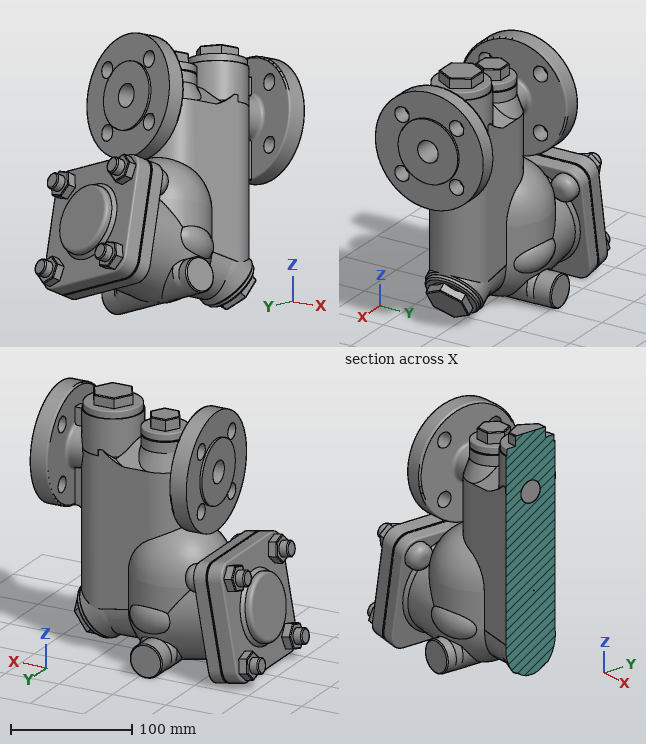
import cadquery as cq
import math


face_to_face = 150.0
flange_dia = 105.0
flange_thickness = 18.0
raised_face_dia = 58.0
raised_face_height = 2.0
flange_edge_round = 1.5
bolt_circle_dia = 75.0
bolt_hole_dia = 14.0
bolt_hole_count = 4
bore_dia = 20.0
inlet_neck_dia = 32.0
outlet_neck_dia = 36.0
outlet_neck_flare_dia = 38.0
neck_root_fillet = 3.0
flange_back_x = face_to_face / 2 - flange_thickness

right_column_x = 23.5
left_column_x = -23.5
body_radius = 26.2
body_top_z = -0.5

right_column_radius = 26.0
right_step_z = 5.0
right_shoulder_z = 38.5
right_cap_dia = 50.0
right_cap_z = 44.8
right_hex_flats = 32.0
right_hex_top_z = 54.0
shoulder_rise_z = 10.7
shoulder_start_x = 0.0
shoulder_end_x = 19.5
shoulder_curve_radius = 52.0

left_boss_x = -25.0
left_boss_radius = 20.0
left_flare_top_z = 15.0
left_groove_z = 24.6
left_groove_height = 0.8
left_groove_depth = 0.8
left_cap_z = 32.0
left_hex_flats = 24.0
left_hex_top_z = 42.2

ridge_top_z = 18.0
ridge_shoulder_y = 12.5
ridge_shoulder_z = 13.0

rib_thickness = 8.5
rib_top_z = 34.5
rib_bottom_z = -52.2
rib_foot = 5.5

chamber_radius = 44.0
tilted_radius = 43.6
chamber_x = -40.0
chamber_z = -125.4
dome_z = -92.2
cover_tilt = 10.0

cover_face_distance = 74.8
plate_size = 105.0
plate_corner_radius = 14.0
cover_thickness = 14.5
gasket_thickness = 1.0
gasket_inset = 0.8
chamber_flange_thickness = 12.3
plate_edge_round = 1.5
chamber_root_fillet = 3.0
crown_dia = 60.0
crown_height = 9.0
crown_round = 3.0
crown_foot_angle = 45.0
stud_offset = 38.0
stud_dia = 14.0
stud_height = 16.0
stud_chamfer = 1.0
nut_flats = 21.0
nut_height = 8.0
nut_turn = 15.0
stud_boss_radius = 12.0
stud_boss_length = 12.0
stud_boss_round = 8.0

cross_boss_x = -38.0
cross_boss_z = -154.5
cross_boss_dia = 30.0
cross_boss_front_y = -50.5
cross_boss_back_y = 58.0
cross_boss_chamfer = 1.0
cross_boss_collar_dia = 35.0
cross_boss_collar_rise = 2.6
cross_boss_collar_y = 36.0
cross_boss_collar_height = 5.0

bulge_x = -33.5
bulge_y = 30.0
bulge_z = -123.9
bulge_half_length = 25.8
bulge_half_width = 17.3
bulge_yaw = 12.0
bulge_pitch = 7.0

passage_bottom_z = -158.8
passage_half_width = 26.0
passage_left_x = -20.0
passage_left_height = 70.5
passage_right_height = 57.0

body_bottom_z = passage_bottom_z + passage_right_height / 2

plug_slope = 35.0
plug_joint_z = -133.5
plug_boss_radius = 26.4
plug_boss_length = 14.5
plug_boss_chamfer = 1.4
plug_disc_dia = 49.6
plug_disc_thickness = 4.1
plug_disc_chamfer = 1.5
plug_hex_flats = 35.0
plug_hex_height = 8.0

hex_chamfer = 0.8
embed = 1.0
cap_edge_round = 1.0


def hex_prism(plane, flats, height, turn=0.0):
    """Hexagon head with its outer edge chamfered; turn is degrees about the axis."""
    corners = flats / math.cos(math.pi / 6)
    head = cq.Workplane(plane).polygon(6, corners).extrude(height)
    head = head.faces(cq.selectors.DirectionMinMaxSelector(plane.zDir, True)).chamfer(hex_chamfer)
    return head.rotate(plane.origin.toTuple(), (plane.origin + plane.zDir).toTuple(), turn)


def disc(plane, radius, height):
    return cq.Workplane(plane).circle(radius).extrude(height)


def level_plane(x, z):
    return cq.Plane(origin=(x, 0, z), xDir=(1, 0, 0), normal=(0, 0, 1))


def column(x, radius, z_low, z_high):
    return disc(level_plane(x, z_low), radius, z_high - z_low)


def flange(side, neck_radius, neck_root_radius, neck_end_x):
    """Flange and neck revolved about the pipe axis; side is -1 for the inlet, +1 for the outlet."""
    face_x = face_to_face / 2
    rim_x = face_x - raised_face_height
    outer = flange_dia / 2
    profile = (
        cq.Workplane("XY")
        .moveTo(side * neck_end_x, 0)
        .lineTo(side * face_x, 0)
        .lineTo(side * face_x, raised_face_dia / 2)
        .lineTo(side * rim_x, raised_face_dia / 2)
        .lineTo(side * rim_x, outer)
        .lineTo(side * (flange_back_x + flange_edge_round), outer)
        .radiusArc((side * flange_back_x, outer - flange_edge_round), -side * flange_edge_round)
        .lineTo(side * flange_back_x, neck_root_radius + neck_root_fillet)
        .radiusArc((side * (flange_back_x - neck_root_fillet), neck_root_radius), side * neck_root_fillet)
        .lineTo(side * neck_end_x, neck_radius)
        .close()
    )
    ring = profile.revolve(360, (0, 0, 0), (1, 0, 0))
    holes = (
        cq.Workplane("YZ", origin=(side * flange_back_x, 0, 0))
        .polarArray(bolt_circle_dia / 2, 360 / bolt_hole_count / 2, 360, bolt_hole_count)
        .circle(bolt_hole_dia / 2)
        .extrude(side * flange_thickness)
    )
    return ring.cut(holes)


def body_block():
    """Slot-section block joining both columns, topped by a ridge and a rise to the right column."""
    block = (
        cq.Workplane(level_plane((left_column_x + right_column_x) / 2, body_bottom_z))
        .slot2D(right_column_x - left_column_x + 2 * body_radius, 2 * body_radius)
        .extrude(body_top_z - body_bottom_z)
    )
    rise = (
        cq.Workplane("XZ", origin=(0, body_radius, 0))
        .moveTo(shoulder_start_x, body_top_z)
        .radiusArc((shoulder_end_x, shoulder_rise_z), -shoulder_curve_radius)
        .lineTo(right_column_x, shoulder_rise_z)
        .lineTo(right_column_x, body_top_z)
        .close()
        .extrude(2 * body_radius)
    )
    ridge = (
        cq.Workplane("YZ", origin=(left_boss_x, 0, 0))
        .moveTo(-body_radius, body_top_z)
        .lineTo(-ridge_shoulder_y, ridge_shoulder_z)
        .threePointArc((0, ridge_top_z), (ridge_shoulder_y, ridge_shoulder_z))
        .lineTo(body_radius, body_top_z)
        .close()
        .extrude(right_column_x - left_boss_x)
    )
    floor_trim = (
        cq.Workplane("XZ", origin=(0, 2 * body_radius, 0))
        .moveTo(passage_left_x, passage_bottom_z + passage_left_height / 2)
        .lineTo(right_column_x, body_bottom_z)
        .lineTo(passage_left_x, body_bottom_z)
        .close()
        .extrude(4 * body_radius)
    )
    return block.cut(floor_trim).union(rise).union(ridge)


def right_column():
    lower = column(right_column_x, body_radius, plug_joint_z, right_step_z)
    upper = column(right_column_x, right_column_radius, body_top_z, right_shoulder_z)
    cap = column(right_column_x, right_cap_dia / 2, right_shoulder_z, right_cap_z)
    cap = cap.faces(">Z").edges().fillet(cap_edge_round)
    head = hex_prism(level_plane(right_column_x, right_cap_z), right_hex_flats, right_hex_top_z - right_cap_z)
    return lower.union(upper).union(cap).union(head)


def left_column():
    """Round boss with a grooved cap on top and a flare down to the body block."""
    groove_radius = left_boss_radius - left_groove_depth
    boss = (
        cq.Workplane("XZ", origin=(left_boss_x, 0, 0))
        .moveTo(0, left_flare_top_z)
        .lineTo(left_boss_radius, left_flare_top_z)
        .lineTo(left_boss_radius, left_groove_z)
        .lineTo(groove_radius, left_groove_z)
        .lineTo(groove_radius, left_groove_z + left_groove_height)
        .lineTo(left_boss_radius, left_groove_z + left_groove_height)
        .lineTo(left_boss_radius, left_cap_z - cap_edge_round)
        .radiusArc((left_boss_radius - cap_edge_round, left_cap_z), -cap_edge_round)
        .lineTo(0, left_cap_z)
        .close()
        .revolve(360, (0, 0, 0), (0, 1, 0))
    )
    flare = (
        cq.Workplane(level_plane(left_column_x, body_top_z))
        .circle(body_radius)
        .workplane(offset=left_flare_top_z - body_top_z)
        .center(left_boss_x - left_column_x, 0)
        .circle(left_boss_radius)
        .loft()
    )
    head = hex_prism(level_plane(left_boss_x, left_cap_z), left_hex_flats, left_hex_top_z - left_cap_z)
    return boss.union(flare).union(head)


def flange_rib():
    """Upright web filling the gap between the right column and the outlet flange."""
    column_edge_x = right_column_x + right_column_radius
    return (
        cq.Workplane("XZ", origin=(0, rib_thickness / 2, 0))
        .moveTo(right_column_x, rib_top_z)
        .lineTo(flange_back_x, rib_top_z)
        .lineTo(flange_back_x, rib_bottom_z)
        .lineTo(column_edge_x + rib_foot, rib_bottom_z)
        .radiusArc((column_edge_x, rib_bottom_z - rib_foot), -rib_foot)
        .lineTo(right_column_x, rib_bottom_z - rib_foot)
        .close()
        .extrude(rib_thickness)
    )


def cover_plane(distance):
    """Plane square to the tilted axis, at a distance outward from the chamber centre."""
    tilt = math.radians(cover_tilt)
    origin = (chamber_x - distance * math.cos(tilt), 0, chamber_z + distance * math.sin(tilt))
    return cq.Plane(origin=origin, xDir=(0, -1, 0), normal=(-math.cos(tilt), 0, math.sin(tilt)))


def chamber():
    """Round-ended upright capsule joined by the tilted cylinder that carries the cover."""
    upright = (
        cq.Workplane("XZ", origin=(chamber_x, 0, 0))
        .moveTo(0, chamber_z - chamber_radius)
        .radiusArc((chamber_radius, chamber_z), -chamber_radius)
        .lineTo(chamber_radius, dome_z)
        .radiusArc((0, dome_z + chamber_radius), -chamber_radius)
        .close()
        .revolve(360, (0, 0, 0), (0, 1, 0))
    )
    tilted = disc(cover_plane(0), tilted_radius, cover_face_distance - cover_thickness)
    return upright.union(tilted)


def square_plate(distance, size, thickness, corner_radius):
    """Rounded square plate whose inner face is at the given distance."""
    return (
        cq.Workplane(cover_plane(distance))
        .rect(size, size)
        .extrude(thickness)
        .edges(cq.selectors.ParallelDirSelector(cover_plane(0).zDir))
        .fillet(corner_radius)
    )


def cover():
    outward = cover_plane(0).zDir
    outer_face = cq.selectors.DirectionMinMaxSelector(outward, True)
    inner_face = cq.selectors.DirectionMinMaxSelector(outward, False)
    gasket_start = cover_face_distance - cover_thickness - gasket_thickness
    flange_start = gasket_start - chamber_flange_thickness

    lid_start = cover_face_distance - cover_thickness
    lid = square_plate(lid_start, plate_size, cover_thickness, plate_corner_radius)
    lid = lid.faces(outer_face).edges().fillet(plate_edge_round)
    gasket = square_plate(
        gasket_start, plate_size - 2 * gasket_inset, gasket_thickness, plate_corner_radius - gasket_inset
    )
    seat = square_plate(flange_start, plate_size, chamber_flange_thickness, plate_corner_radius)
    seat = seat.faces(inner_face).edges().fillet(plate_edge_round)

    root_outer = tilted_radius + chamber_root_fillet
    root = (
        cq.Workplane(cover_plane(flange_start - chamber_root_fillet))
        .circle(tilted_radius)
        .workplane(offset=chamber_root_fillet)
        .circle(root_outer)
        .loft()
    )
    crown = disc(cover_plane(cover_face_distance), crown_dia / 2, crown_height)
    crown = crown.faces(outer_face).edges().fillet(crown_round)
    crown_foot = (
        cq.Workplane(cover_plane(cover_face_distance))
        .circle(crown_dia / 2 + crown_round)
        .extrude(crown_round, taper=crown_foot_angle)
    )
    return lid.union(crown).union(crown_foot).union(gasket).union(seat).union(root)


def studs():
    """Four studs with nuts, and round bosses behind the two upper ones."""
    outward = cover_plane(0).zDir
    outer_face = cq.selectors.DirectionMinMaxSelector(outward, True)
    inner_face = cq.selectors.DirectionMinMaxSelector(outward, False)
    boss_end = (
        cover_face_distance - cover_thickness - gasket_thickness - chamber_flange_thickness - stud_boss_length
    )
    parts = cq.Workplane("XY")
    for side in (-1, 1):
        for level in (-1, 1):
            place = cover_plane(cover_face_distance)
            place.origin = place.toWorldCoords((side * stud_offset, level * stud_offset, 0))
            stud = disc(place, stud_dia / 2, stud_height).faces(outer_face).chamfer(stud_chamfer)
            nut = hex_prism(place, nut_flats, nut_height, side * level * nut_turn)
            parts = parts.add(stud.union(nut))
        back = cover_plane(boss_end)
        back.origin = back.toWorldCoords((side * stud_offset, stud_offset, 0))
        boss = disc(back, stud_boss_radius, stud_boss_length + embed)
        boss = boss.faces(inner_face).edges().fillet(stud_boss_round)
        parts = parts.add(boss)
    return parts.combine()


def cross_boss():
    """Horizontal boss across the chamber, flared where it leaves the casting on each side."""
    length = cross_boss_back_y - cross_boss_front_y
    boss = (
        cq.Workplane("XZ", origin=(cross_boss_x, cross_boss_back_y, cross_boss_z))
        .circle(cross_boss_dia / 2)
        .extrude(length)
        .faces("<Y or >Y")
        .edges()
        .chamfer(cross_boss_chamfer)
    )
    for side in (-1, 1):
        collar = (
            cq.Workplane("XZ", origin=(cross_boss_x, 0, cross_boss_z))
            .center(0, cross_boss_collar_rise)
            .circle(cross_boss_collar_dia / 2)
            .extrude(-side * cross_boss_collar_y)
        )
        flare = (
            cq.Workplane("XZ", origin=(cross_boss_x, side * cross_boss_collar_y, cross_boss_z))
            .center(0, cross_boss_collar_rise)
            .circle(cross_boss_collar_dia / 2)
            .workplane(offset=-side * cross_boss_collar_height)
            .center(0, -cross_boss_collar_rise)
            .circle(cross_boss_dia / 2)
            .loft()
        )
        boss = boss.union(collar).union(flare)
    return boss


def side_bulge(side):
    """Ellipsoid swelling on the chamber flank; side is -1 toward -Y, +1 toward +Y."""
    return (
        cq.Workplane("XY")
        .ellipseArc(bulge_half_length, bulge_half_width, 0, 180, startAtCurrent=False)
        .close()
        .revolve(360, (0, 0, 0), (1, 0, 0))
        .rotate((0, 0, 0), (0, 0, 1), -side * bulge_yaw)
        .rotate((0, 0, 0), (0, 1, 0), bulge_pitch)
        .translate((bulge_x, side * bulge_y, bulge_z))
    )


def drain_passage():
    """Oval passage with a level floor, tapering from the chamber to the right column."""
    left_z = passage_bottom_z + passage_left_height / 2
    right_z = passage_bottom_z + passage_right_height / 2
    return (
        cq.Workplane("YZ", origin=(passage_left_x, 0, left_z))
        .ellipse(passage_half_width, passage_left_height / 2)
        .workplane(offset=right_column_x - passage_left_x)
        .center(0, right_z - left_z)
        .ellipse(passage_half_width, passage_right_height / 2)
        .loft()
    )


def plug_plane(distance):
    """Plane square to the slanted plug axis, at a distance from the column joint."""
    slope = math.radians(plug_slope)
    along = (math.cos(slope), 0, -math.sin(slope))
    origin = (right_column_x + distance * along[0], 0, plug_joint_z + distance * along[2])
    return cq.Plane(origin=origin, xDir=(math.sin(slope), 0, math.cos(slope)), normal=along)


def screen_plug():
    boss = (
        cq.Workplane("XZ")
        .moveTo(0, -plug_boss_radius)
        .radiusArc((plug_boss_radius, 0), -plug_boss_radius)
        .lineTo(plug_boss_radius, plug_boss_length - plug_boss_chamfer)
        .lineTo(plug_boss_radius - plug_boss_chamfer, plug_boss_length)
        .lineTo(0, plug_boss_length)
        .close()
        .revolve(360, (0, 0, 0), (0, 1, 0))
        .rotate((0, 0, 0), (0, 1, 0), 90 + plug_slope)
        .translate(plug_plane(0).origin.toTuple())
    )
    outer_face = cq.selectors.DirectionMinMaxSelector(plug_plane(0).zDir, True)
    cap = disc(plug_plane(plug_boss_length - embed), plug_disc_dia / 2, plug_disc_thickness + embed)
    cap = cap.faces(outer_face).chamfer(plug_disc_chamfer)
    hex_start = plug_boss_length + plug_disc_thickness
    head = hex_prism(plug_plane(hex_start), plug_hex_flats, plug_hex_height)
    return boss.union(cap).union(head)


def pipe_bore(side, depth_x):
    length = face_to_face / 2 - abs(depth_x)
    return (
        cq.Workplane("YZ", origin=(side * face_to_face / 2, 0, 0))
        .circle(bore_dia / 2)
        .extrude(-side * length)
    )


result = body_block()
result = result.union(right_column())
result = result.union(left_column())
result = result.union(drain_passage())
result = result.union(screen_plug())
result = result.union(chamber())
result = result.union(cover())
result = result.union(studs())
result = result.union(cross_boss())
result = result.union(side_bulge(-1))
result = result.union(side_bulge(1))
result = result.union(flange_rib())
result = result.union(flange(-1, inlet_neck_dia / 2, inlet_neck_dia / 2, -left_boss_x))
result = result.union(flange(1, outlet_neck_dia / 2, outlet_neck_flare_dia / 2, right_column_x))
result = result.cut(pipe_bore(-1, left_boss_x))
result = result.cut(pipe_bore(1, right_column_x))